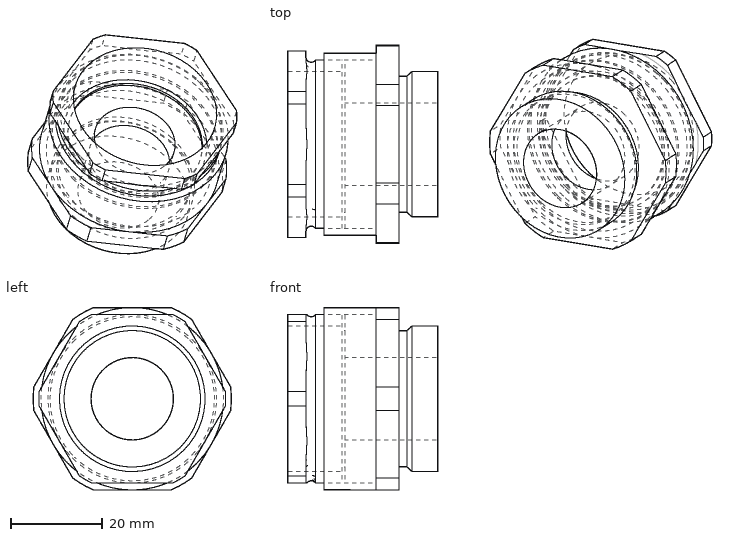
import cadquery as cq
import math


sleeve_start = 7.95
hex_start = 19.4
hex_end = 24.45
neck_end = 26.13
chamfer_end = 27.2
total_length = 32.9
body_flats = 40.0
body_corner_diameter = 43.45
sleeve_radius = body_flats / 2
spigot_radius = 15.95
neck_radius = 14.95

nut_hex_end = 4.0
nut_end = 11.9
nut_flats = 36.95
nut_corner_diameter = 40.95
collar_radius = nut_flats / 2
nut_bore_radius = spigot_radius
groove_radius = 1.17
groove_depth = 0.48
groove_center_x = nut_hex_end + groove_radius
groove_center_radius = collar_radius - groove_depth + groove_radius

washer_thickness = 0.7
washer_bore_radius = neck_radius
cable_radius = 9.0
seal_start = nut_end + washer_thickness
cavity_radius = collar_radius


def tube(start, end, outer_radius, bore_radius):
    """Round tube between two X positions."""
    return (
        cq.Workplane("YZ", origin=(start, 0, 0))
        .circle(outer_radius)
        .circle(bore_radius)
        .extrude(end - start)
    )


def rounded_hexagon(start, end, flats, corner_diameter):
    """Hexagonal prism with corners on the Y axis, turned to a round corner diameter."""
    prism = (
        cq.Workplane("YZ", origin=(start, 0, 0))
        .polygon(6, flats / math.cos(math.pi / 6))
        .extrude(end - start)
    )
    corner_cylinder = (
        cq.Workplane("YZ", origin=(start, 0, 0))
        .circle(corner_diameter / 2)
        .extrude(end - start)
    )
    return prism.intersect(corner_cylinder)


def revolve_about_x(profile):
    return profile.close().revolve(360, (0, 0, 0), (1, 0, 0))


def make_gland_body():
    turned_profile = (
        cq.Workplane("XY")
        .moveTo(sleeve_start, cavity_radius)
        .lineTo(sleeve_start, sleeve_radius)
        .lineTo(hex_end, sleeve_radius)
        .lineTo(hex_end, neck_radius)
        .lineTo(neck_end, neck_radius)
        .lineTo(chamfer_end, spigot_radius)
        .lineTo(total_length, spigot_radius)
        .lineTo(total_length, cable_radius)
        .lineTo(hex_start, cable_radius)
        .lineTo(hex_start, cavity_radius)
    )
    hexagon = rounded_hexagon(hex_start, hex_end, body_flats, body_corner_diameter)
    cable_hole = cq.Workplane("YZ").circle(cable_radius).extrude(total_length)
    return revolve_about_x(turned_profile).union(hexagon.cut(cable_hole))


def make_nut():
    """Nut whose groove runs out into the back face of its hexagon."""
    hexagon = rounded_hexagon(0, groove_center_x, nut_flats, nut_corner_diameter)
    collar = tube(groove_center_x, nut_end, collar_radius, nut_bore_radius)
    groove_profile = (
        cq.Workplane("XY")
        .moveTo(nut_hex_end, body_corner_diameter / 2)
        .lineTo(nut_hex_end, groove_center_radius)
        .threePointArc(
            (groove_center_x, groove_center_radius - groove_radius),
            (groove_center_x + groove_radius, groove_center_radius),
        )
        .lineTo(groove_center_x + groove_radius, body_corner_diameter / 2)
    )
    bore = cq.Workplane("YZ").circle(nut_bore_radius).extrude(nut_end)
    return hexagon.union(collar).cut(bore).cut(revolve_about_x(groove_profile))


def make_washer():
    return tube(nut_end, seal_start, cavity_radius, washer_bore_radius)


def make_seal():
    return tube(seal_start, hex_start, cavity_radius, cable_radius)


gland_body = make_gland_body()
nut = make_nut()
washer = make_washer()
seal = make_seal()

result = cq.Compound.makeCompound([gland_body.val(), nut.val(), washer.val(), seal.val()])